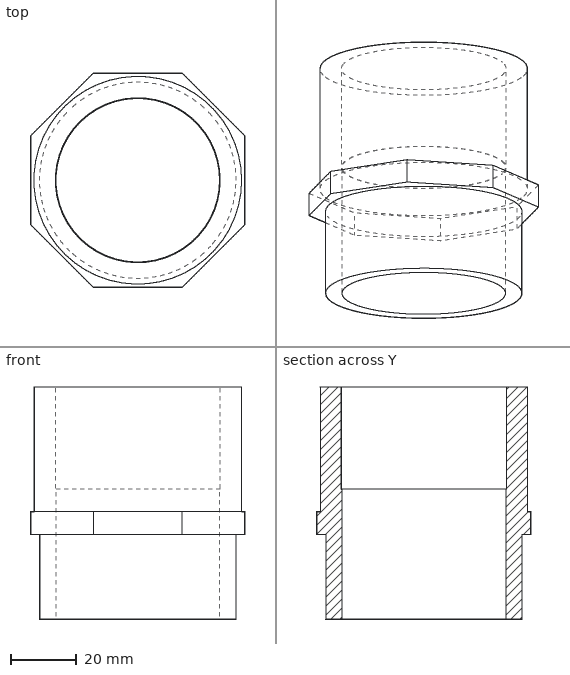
import cadquery as cq

total_height = 70.5
collar_height = 7.0
socket_outer_height = 37.8
spigot_height = total_height - socket_outer_height - collar_height

spigot_diameter = 59.6
socket_outer_diameter = 63.0
collar_across_flats = 65.0

socket_bore_diameter = 50.0
through_bore_diameter = 49.6
socket_bore_depth = 31.0


def make_spigot():
    """Plain round lower end."""
    return cq.Workplane("XY").circle(spigot_diameter / 2).extrude(spigot_height)


def make_collar():
    """Octagonal wrench collar: the overlap of two square plates turned 45 degrees apart."""
    plate = (
        cq.Workplane("XY")
        .workplane(offset=spigot_height)
        .rect(collar_across_flats, collar_across_flats)
        .extrude(collar_height)
    )
    turned_plate = plate.rotate((0, 0, 0), (0, 0, 1), 45)
    return plate.intersect(turned_plate)


def make_socket():
    """Round upper end, standing on the collar."""
    return (
        cq.Workplane("XY")
        .workplane(offset=spigot_height + collar_height)
        .circle(socket_outer_diameter / 2)
        .extrude(socket_outer_height)
    )


def make_bore():
    """Through bore, slightly wider in the socket so that a small stop ledge is left."""
    through_bore = cq.Workplane("XY").circle(through_bore_diameter / 2).extrude(total_height)
    socket_bore = (
        cq.Workplane("XY")
        .workplane(offset=total_height - socket_bore_depth)
        .circle(socket_bore_diameter / 2)
        .extrude(socket_bore_depth)
    )
    return through_bore.union(socket_bore)


result = make_spigot().union(make_collar()).union(make_socket()).cut(make_bore())